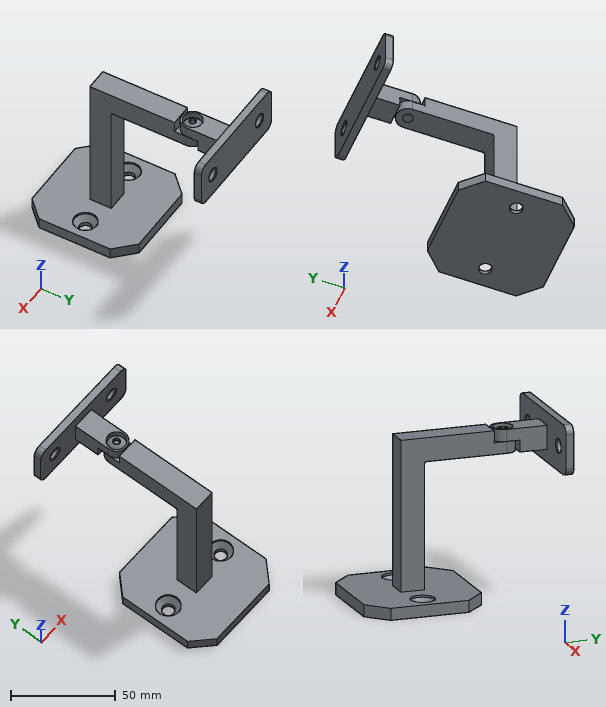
import cadquery as cq
import math


OVERALL_LENGTH = 102.5
OVERALL_HEIGHT = 88.5

BASE_SIDE = 60.0
BASE_THICKNESS = 6.0
BASE_CORNER_CUT = 10.0
BASE_HOLE_SPACING = 40.0
BASE_HOLE_DIAMETER = 6.5
COUNTERSINK_DIAMETER = 12.2
COUNTERSINK_RIM_DEPTH = 1.0
COUNTERSINK_SLOPE = 1.0

BAR_WIDTH = 12.0
ELBOW_INNER_RADIUS = 1.0

PLATE_WIDTH = 65.0
PLATE_HEIGHT = 25.0
PLATE_THICKNESS = 4.0
PLATE_CORNER_RADIUS = 4.0
PLATE_HOLE_SPACING = 43.0
PLATE_HOLE_DIAMETER = 6.5
PLATE_HOLE_CHAMFER = 0.5

HINGE_TO_PLATE_BACK = 24.5
HINGE_GAP = 0.5

HEAD_DIAMETER = 10.0
COUNTERBORE_DEPTH = 3.6
HEAD_TOP_DIAMETER = 3.8
HEAD_HEIGHT = 3.0
SHANK_DIAMETER = 5.0
SOCKET_FLATS = 3.1
SOCKET_DEPTH = 1.5
SOCKET_POINT_DEPTH = 0.8

HALF_BAR = BAR_WIDTH / 2
PLATE_BACK_Y = OVERALL_LENGTH - BASE_SIDE / 2
PLATE_FRONT_Y = PLATE_BACK_Y - PLATE_THICKNESS
BAR_AXIS_Z = OVERALL_HEIGHT - PLATE_HEIGHT / 2
BAR_BOTTOM_Z = BAR_AXIS_Z - HALF_BAR
BAR_TOP_Z = BAR_AXIS_Z + HALF_BAR
HINGE_Y = PLATE_BACK_Y - HINGE_TO_PLATE_BACK
HINGE_NOTCH = HALF_BAR + HINGE_GAP
HEAD_SEAT_Z = BAR_TOP_Z - COUNTERBORE_DEPTH


def cylinder(diameter, bottom_z, top_z):
    """Upright cylinder on the hinge axis."""
    disc = cq.Workplane("XY", origin=(0, HINGE_Y, bottom_z)).circle(diameter / 2)
    return disc.extrude(top_z - bottom_z)


def bar_block(start_y, end_y, bottom_z, top_z):
    """Block of full bar width between two Y places and two heights."""
    corner = (-HALF_BAR, start_y, bottom_z)
    block = cq.Workplane("XY").box(BAR_WIDTH, end_y - start_y, top_z - bottom_z, centered=False)
    return block.translate(corner)


def make_base():
    """Square base with cut corners and two countersunk holes."""
    base = cq.Workplane("XY").rect(BASE_SIDE, BASE_SIDE).extrude(BASE_THICKNESS)
    base = base.edges("|Z").chamfer(BASE_CORNER_CUT)
    hole_radius = BASE_HOLE_DIAMETER / 2
    sink_radius = COUNTERSINK_DIAMETER / 2
    cone_top = BASE_THICKNESS - COUNTERSINK_RIM_DEPTH
    cone_bottom = cone_top - (sink_radius - hole_radius) * COUNTERSINK_SLOPE
    hole = (
        cq.Workplane("XZ")
        .lineTo(hole_radius, 0)
        .lineTo(hole_radius, cone_bottom)
        .lineTo(sink_radius, cone_top)
        .lineTo(sink_radius, BASE_THICKNESS)
        .lineTo(0, BASE_THICKNESS)
        .close()
        .revolve(360, (0, 0), (0, 1))
    )
    for side in (-1, 1):
        base = base.cut(hole.translate((side * BASE_HOLE_SPACING / 2, 0, 0)))
    return base


def make_arm():
    """Post and horizontal bar in one, ending in the lower half of the hinge."""
    arm = (
        cq.Workplane("YZ")
        .moveTo(-HALF_BAR, BASE_THICKNESS)
        .lineTo(HALF_BAR, BASE_THICKNESS)
        .lineTo(HALF_BAR, BAR_BOTTOM_Z)
        .lineTo(HINGE_Y, BAR_BOTTOM_Z)
        .lineTo(HINGE_Y, BAR_TOP_Z)
        .lineTo(-HALF_BAR, BAR_TOP_Z)
        .close()
        .extrude(HALF_BAR, both=True)
    )
    inner_elbow = cq.selectors.NearestToPointSelector((0, HALF_BAR, BAR_BOTTOM_Z))
    arm = arm.edges(inner_elbow).fillet(ELBOW_INNER_RADIUS)
    arm = arm.union(cylinder(BAR_WIDTH, BAR_BOTTOM_Z, BAR_AXIS_Z))
    arm = arm.cut(bar_block(HINGE_Y - HINGE_NOTCH, HINGE_Y, BAR_AXIS_Z, BAR_TOP_Z))
    return arm.cut(cylinder(SHANK_DIAMETER, BAR_BOTTOM_Z, BAR_AXIS_Z))


def make_link():
    """Short bar on the rail plate, ending in the upper half of the hinge."""
    link = bar_block(HINGE_Y, PLATE_FRONT_Y, BAR_BOTTOM_Z, BAR_TOP_Z)
    link = link.union(cylinder(BAR_WIDTH, BAR_AXIS_Z, BAR_TOP_Z))
    link = link.cut(bar_block(HINGE_Y, HINGE_Y + HINGE_NOTCH, BAR_BOTTOM_Z, BAR_AXIS_Z))
    link = link.cut(cylinder(SHANK_DIAMETER, BAR_AXIS_Z, HEAD_SEAT_Z))
    return link.cut(cylinder(HEAD_DIAMETER, HEAD_SEAT_Z, BAR_TOP_Z))


def make_rail_plate():
    """Upright plate with rounded corners and two holes chamfered at both ends."""
    front = cq.Workplane("XZ", origin=(0, PLATE_FRONT_Y, BAR_AXIS_Z))
    plate = front.rect(PLATE_WIDTH, PLATE_HEIGHT).extrude(-PLATE_THICKNESS)
    plate = plate.edges("|Y").fillet(PLATE_CORNER_RADIUS)
    hole_radius = PLATE_HOLE_DIAMETER / 2
    mouth_radius = hole_radius + PLATE_HOLE_CHAMFER
    hole = (
        cq.Workplane("XY", origin=(0, PLATE_FRONT_Y, BAR_AXIS_Z))
        .lineTo(mouth_radius, 0)
        .lineTo(hole_radius, PLATE_HOLE_CHAMFER)
        .lineTo(hole_radius, PLATE_THICKNESS - PLATE_HOLE_CHAMFER)
        .lineTo(mouth_radius, PLATE_THICKNESS)
        .lineTo(0, PLATE_THICKNESS)
        .close()
        .revolve(360, (0, 0), (0, 1))
    )
    for side in (-1, 1):
        plate = plate.cut(hole.translate((side * PLATE_HOLE_SPACING / 2, 0, 0)))
    return plate


def make_screw():
    """Button-head screw with a hexagon socket, flush with the underside of the arm."""
    rim_radius = HEAD_DIAMETER / 2
    top_radius = HEAD_TOP_DIAMETER / 2
    centre_drop = (rim_radius**2 - top_radius**2 - HEAD_HEIGHT**2) / (2 * HEAD_HEIGHT)
    dome_radius = math.hypot(rim_radius, centre_drop)
    middle_radius = (rim_radius + top_radius) / 2
    middle_height = math.sqrt(dome_radius**2 - middle_radius**2) - centre_drop
    head = (
        cq.Workplane("XZ", origin=(0, HINGE_Y, HEAD_SEAT_Z))
        .lineTo(rim_radius, 0)
        .threePointArc((middle_radius, middle_height), (top_radius, HEAD_HEIGHT))
        .lineTo(0, HEAD_HEIGHT)
        .close()
        .revolve(360, (0, 0), (0, 1))
    )
    socket_floor = HEAD_SEAT_Z + HEAD_HEIGHT - SOCKET_DEPTH
    socket = (
        cq.Workplane("XY", origin=(0, HINGE_Y, socket_floor))
        .transformed(rotate=(0, 0, 90))
        .polygon(6, SOCKET_FLATS, circumscribed=True)
        .extrude(SOCKET_DEPTH)
    )
    socket_point = cq.Workplane(
        cq.Solid.makeCone(
            SOCKET_FLATS / 2,
            0,
            SOCKET_POINT_DEPTH,
            pnt=cq.Vector(0, HINGE_Y, socket_floor),
            dir=cq.Vector(0, 0, -1),
        )
    )
    screw = head.union(cylinder(SHANK_DIAMETER, BAR_BOTTOM_Z, HEAD_SEAT_Z))
    return screw.cut(socket).cut(socket_point)


base = make_base()
arm = make_arm()
link = make_link()
rail_plate = make_rail_plate()
screw = make_screw()

result = cq.Compound.makeCompound([base.val(), arm.val(), link.val(), rail_plate.val(), screw.val()])